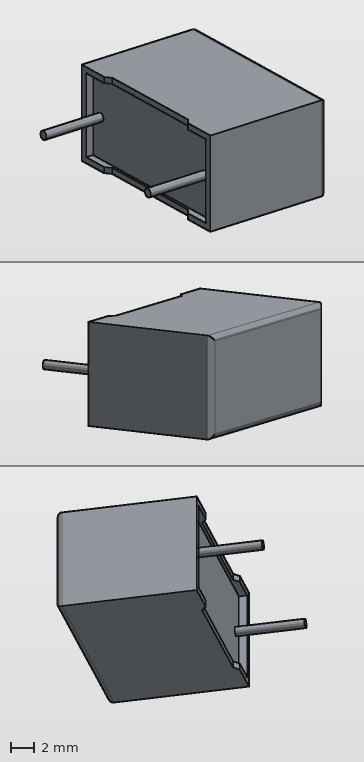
import cadquery as cq

width = 18.5
height = 9.21
lead_length = 5.5
depth = 18.1 - lead_length

side_wall = 0.67
top_wall = 0.6
back_wall = side_wall
back_edge_radius = 0.5

notch_depth = 0.46
notch_mouth_width = 12.0
notch_floor_width = 10.92

potting_recess = 0.74
lead_diameter = 0.85
lead_pitch = 15.0

cavity_width = width - 2 * side_wall
cavity_height = height - 2 * top_wall


def block(size_x, size_z, y_front, y_back):
    """Box centred on the Y axis between two Y positions."""
    return (
        cq.Workplane("XY")
        .box(size_x, y_back - y_front, size_z, centered=(True, False, True))
        .translate((0, y_front, 0))
    )


def make_rim_notch():
    """Trapezoidal relief across the top and bottom walls at the mouth."""
    return (
        cq.Workplane("XY")
        .polyline([
            (-notch_mouth_width / 2, 0),
            (-notch_floor_width / 2, notch_depth),
            (notch_floor_width / 2, notch_depth),
            (notch_mouth_width / 2, 0),
        ])
        .close()
        .extrude(height / 2, both=True)
    )


def make_housing():
    shell = block(width, height, 0, depth).faces(">Y").edges().fillet(back_edge_radius)
    cavity = block(cavity_width, cavity_height, 0, depth - back_wall)
    return shell.cut(cavity).cut(make_rim_notch())


def make_potting():
    return block(cavity_width, cavity_height, potting_recess, depth - back_wall)


def make_lead(x):
    """Round wire standing on the potting face."""
    return (
        cq.Workplane("XZ", origin=(x, potting_recess, 0))
        .circle(lead_diameter / 2)
        .extrude(potting_recess + lead_length)
    )


housing = make_housing()
potting = make_potting()
leads = [make_lead(side * lead_pitch / 2) for side in (-1, 1)]

result = cq.Compound.makeCompound([
    housing.val(),
    potting.val(),
    *[lead.val() for lead in leads],
])